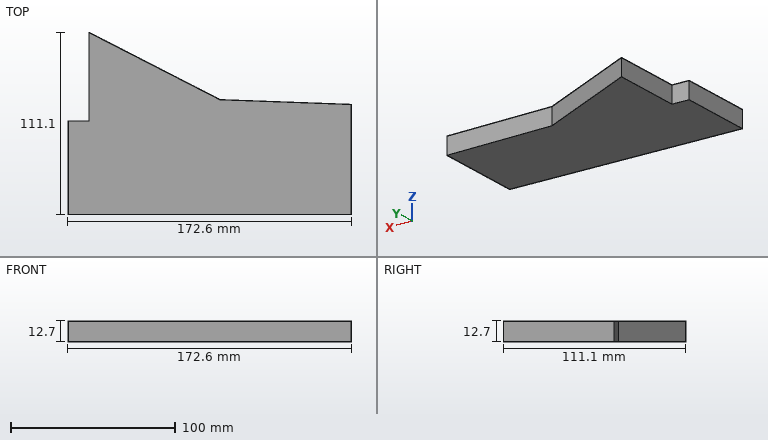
import cadquery as cq

length = 172.57
width = 111.12
thickness = 12.7

step_depth = 12.7
step_width = 57.15

knee_x = 92.6
knee_y = 70.13
right_end_width = 67.23


def plate_outline():
    """Closed outline of the plate, counterclockwise from the front left corner."""
    return (
        cq.Workplane("XY")
        .moveTo(0, 0)
        .lineTo(length, 0)
        .lineTo(length, right_end_width)
        .lineTo(knee_x, knee_y)
        .lineTo(step_depth, width)
        .lineTo(step_depth, step_width)
        .lineTo(0, step_width)
        .close()
    )


result = plate_outline().extrude(thickness)